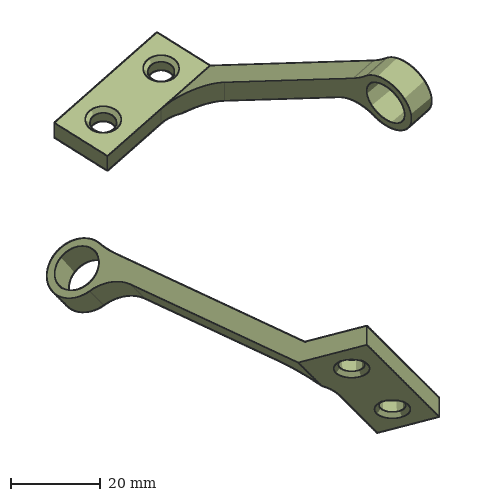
import cadquery as cq
import math

length = 80.0
depth = 35.5

plate_width = 15.5
plate_thickness = 4.95
screw_hole_diameter = 5.9
countersink_diameter = 8.0
screw_x = plate_width / 2
screw_spacing = 20.0
screw_edge_distance = plate_width / 2

arm_width = 7.0
arm_thickness = 4.95
arm_slope = 0.75
root_radius = 10.0
eye_radius = 7.5
eye_bore_diameter = 11.0
eye_center_x = length - eye_radius
eye_center_z = 39.2
upper_blend_radius = 24.95
lower_blend_radius = 10.0

arm_front_y = depth / 2 - arm_width
back_y = depth / 2


def make_plate():
    """Flat plate with two screw holes, chamfered at 45 degrees on both faces."""
    plate = cq.Workplane("XY").box(plate_width, depth, plate_thickness, centered=(False, True, False))
    first_y = back_y - screw_edge_distance
    holes = (
        cq.Workplane("XY")
        .pushPoints([(screw_x, first_y), (screw_x, first_y - screw_spacing)])
        .circle(screw_hole_diameter / 2)
        .extrude(plate_thickness)
    )
    chamfer_size = (countersink_diameter - screw_hole_diameter) / 2
    return plate.cut(holes).edges("%CIRCLE").chamfer(chamfer_size)


def make_side_profile():
    """Sloping arm with a blended eye, as wide in Y as the plate."""
    vertical_thickness = arm_thickness * math.hypot(1, arm_slope)
    drop_below_plate = vertical_thickness - plate_thickness
    foot_x = plate_width + drop_below_plate / arm_slope
    arm_rise = arm_slope * (eye_center_x - plate_width)
    top_z = plate_thickness + arm_rise
    arm = (
        cq.Workplane("XZ", origin=(0, back_y, 0))
        .moveTo(plate_width, 0)
        .lineTo(foot_x, 0)
        .lineTo(eye_center_x, top_z - vertical_thickness)
        .lineTo(eye_center_x - eye_radius / 2, top_z - arm_slope * eye_radius / 2)
        .lineTo(plate_width, plate_thickness)
        .close()
        .extrude(depth)
    )
    eye = (
        cq.Workplane("XZ", origin=(eye_center_x, back_y, eye_center_z))
        .circle(eye_radius)
        .extrude(depth)
    )
    profile = arm.union(eye)
    profile = profile.edges("|Y").edges(">Z").fillet(upper_blend_radius)
    lower_joint = cq.selectors.BoxSelector(
        (eye_center_x - eye_radius, -depth, eye_center_z - eye_radius),
        (eye_center_x, depth, eye_center_z),
    )
    return profile.edges("|Y").edges(lower_joint).fillet(lower_blend_radius)


def make_plan_outline():
    """Arm outline seen from above, flaring in a quarter circle where it meets the plate."""
    root_end_x = plate_width + root_radius
    arc_inset = root_radius * (1 - math.sqrt(0.5))
    return (
        cq.Workplane("XY")
        .moveTo(plate_width, back_y)
        .lineTo(length, back_y)
        .lineTo(length, arm_front_y)
        .lineTo(root_end_x, arm_front_y)
        .threePointArc(
            (plate_width + arc_inset, arm_front_y - arc_inset),
            (plate_width, arm_front_y - root_radius),
        )
        .close()
        .extrude(eye_center_z + eye_radius)
    )


arm = make_side_profile().intersect(make_plan_outline())
eye_bore = (
    cq.Workplane("XZ", origin=(eye_center_x, back_y, eye_center_z))
    .circle(eye_bore_diameter / 2)
    .extrude(depth)
)
result = make_plate().union(arm).cut(eye_bore)